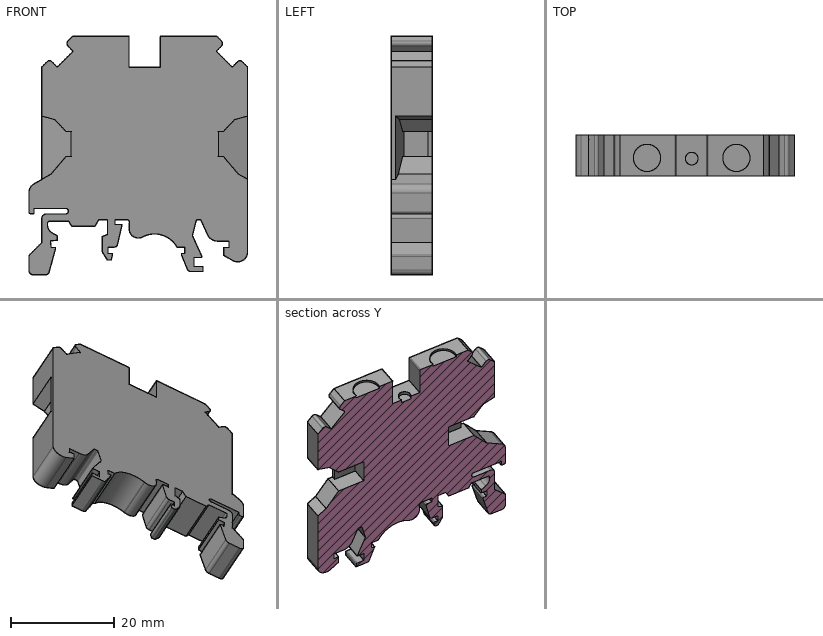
import cadquery as cq
import math

LENGTH = 42.5
THICKNESS = 8.0
HEIGHT = 46.4

BODY_LEFT = 2.5
BODY_CENTRE = (BODY_LEFT + LENGTH) / 2
BODY_HALF = LENGTH - BODY_CENTRE
SHOULDER_Z = 18.55
SHOULDER_SLOPE = math.tan(math.radians(30))

SLOT_HALF = 3.0
SLOT_FLOOR_Z = 40.35
SLOT_EDGE_RADIUS = 0.2
TOP_HALF = 13.95
HOOK_HALF = 15.4
HOOK_RADIUS = 0.75
NOTCH_INNER = 13.9
NOTCH_OUTER = 17.0
BUMP_RADIUS = 0.6

RELEASE_TOP_Z = 12.9
RELEASE_BOTTOM_Z = 11.9
RELEASE_END_X = 7.65
RELEASE_LIP = 1.0
FOOT_FLARE_Z = 3.75

CEILING_Z = 10.7
RAIL_TOP_Z = 5.4
RAIL_BOTTOM_Z = 4.18
TIP_RADIUS = 0.2

FUNNEL_DEPTH = 5.7
FUNNEL_LIP_DEPTH = 4.7
FUNNEL_TOP_Z = 30.85
FUNNEL_KNEE_DEPTH = 2.55
FUNNEL_KNEE_Z = 30.15
FUNNEL_BASE_DEPTH = 1.85
FUNNEL_WALL_OUTER_Y = THICKNESS - 0.9
FUNNEL_WALL_INNER_Y = THICKNESS - 2.5
WIRE_HOLE_TOP_Z = 27.9
WIRE_HOLE_BOTTOM_Z = 22.95
WIRE_HOLE_FRONT_Y = 0.85
WIRE_HOLE_LENGTH = 4.65

SCREW_DIAMETER = 5.3
SCREW_OFFSET = 8.7
SCREW_Y = 3.53
SCREW_DEPTH = 0.45
CENTRE_DIAMETER = 2.45
CENTRE_Y = 3.4
CENTRE_DEPTH = 0.7


def rounded_wire(corners):
    """Closed XZ outline from (x, z, radius) corners; each non-zero radius becomes a tangent arc."""
    stretches = []
    for i, (x, z, radius) in enumerate(corners):
        here = cq.Vector(x, z)
        if radius == 0:
            stretches.append((here,))
            continue
        before = cq.Vector(*corners[i - 1][:2]) - here
        after = cq.Vector(*corners[(i + 1) % len(corners)][:2]) - here
        half_angle = before.getAngle(after) / 2
        tangent = radius / math.tan(half_angle)
        corner_gap = radius / math.sin(half_angle) - radius
        bisector = (before.normalized() + after.normalized()).normalized()
        stretches.append((
            here + before.normalized() * tangent,
            here + bisector * corner_gap,
            here + after.normalized() * tangent,
        ))

    outline = cq.Workplane("XZ").moveTo(*stretches[0][-1].toTuple()[:2])
    for stretch in stretches[1:] + stretches[:1]:
        outline = outline.lineTo(*stretch[0].toTuple()[:2])
        if len(stretch) == 3:
            outline = outline.threePointArc(stretch[1].toTuple()[:2], stretch[2].toTuple()[:2])
    return outline.close()


def extrude_thickness(outline):
    """Extrude an XZ outline from Y = 0 to the back face."""
    return outline.extrude(-THICKNESS)


half_top = [
    (SLOT_HALF, SLOT_FLOOR_Z, 0),
    (SLOT_HALF, HEIGHT, SLOT_EDGE_RADIUS),
    (TOP_HALF, HEIGHT, 0),
    (HOOK_HALF, HEIGHT - (HOOK_HALF - TOP_HALF), HOOK_RADIUS),
    (NOTCH_INNER, SLOT_FLOOR_Z + NOTCH_OUTER - NOTCH_INNER, 0),
    (NOTCH_OUTER, SLOT_FLOOR_Z, 0),
    ((NOTCH_OUTER + BODY_HALF) / 2, SLOT_FLOOR_Z + (BODY_HALF - NOTCH_OUTER) / 2, BUMP_RADIUS),
    (BODY_HALF, SLOT_FLOOR_Z, 0),
]
left_top = [(BODY_CENTRE - offset, z, radius) for offset, z, radius in half_top]
right_top = [(BODY_CENTRE + offset, z, radius) for offset, z, radius in reversed(half_top)]

shoulder = [
    (BODY_LEFT, SHOULDER_Z, 0),
    (0, SHOULDER_Z - BODY_LEFT * SHOULDER_SLOPE, 2.0),
    (0, RELEASE_BOTTOM_Z, 0.35),
    (RELEASE_LIP, RELEASE_BOTTOM_Z, 0.15),
    (RELEASE_LIP, RELEASE_TOP_Z, 0),
    (RELEASE_END_X, RELEASE_TOP_Z, 0.45),
    (RELEASE_END_X, RELEASE_BOTTOM_Z, 0.45),
]

spring_foot = [
    (BODY_LEFT, RELEASE_BOTTOM_Z, 0.95),
    (BODY_LEFT, FOOT_FLARE_Z + BODY_LEFT, 0),
    (0, FOOT_FLARE_Z, 0.4),
    (0, 0, 0.95),
    (3.8, 0, 0.85),
    (5.3, RAIL_TOP_Z, TIP_RADIUS),
    (4.35, RAIL_TOP_Z, 0),
    (4.2, 6.6, 0),
    (5.55, 6.75, 0),
    (5.55, 7.6, 0),
    (3.65, 8.7, 1.75),
    (3.65, 10.4, 0.32),
    (7.75, 10.4, 0),
    (8.35, 9.4, 0),
    (12.85, 9.4, 0),
    (13.6, CEILING_Z, 0),
]

middle_claw = [
    (15.25, CEILING_Z, 0),
    (15.25, 7.9, 0),
    (14.25, 7.45, 0),
    (14.25, 4.45, 0.7),
    (15.25, 2.9, 0.3),
    (16.0, 2.9, 0.2),
    (16.35, RAIL_BOTTOM_Z, TIP_RADIUS),
    (15.4, RAIL_BOTTOM_Z, 0),
    (15.4, RAIL_TOP_Z, 0),
    (17.1, RAIL_TOP_Z, 0.7),
    (18.15, 9.85, TIP_RADIUS),
    (16.75, 9.85, 0),
    (16.75, CEILING_Z, 0),
]

saddle = [
    (19.55, CEILING_Z, 0.45),
    (19.3, 5.95, 1.8),
    (26.4, 9.55, 4.95),
    (28.75, RAIL_TOP_Z, 0),
]

right_claw = [
    (30.25, RAIL_TOP_Z, 0),
    (30.25, RAIL_BOTTOM_Z, 0),
    (29.5, RAIL_BOTTOM_Z, TIP_RADIUS),
    (30.95, 0.65, 0.7),
    (33.83, 0.65, 0),
    (33.83, 1.65, TIP_RADIUS),
    (32.1, 1.65, 0),
    (32.1, 3.4, 0),
    (33.75, 3.4, TIP_RADIUS),
    (31.8, 7.65, 0),
    (32.55, CEILING_Z, 0.2),
]

fixed_foot = [
    (33.35, CEILING_Z, 0.2),
    (35.25, 6.55, 2.25),
    (38.85, 6.55, 0),
    (38.85, RAIL_TOP_Z, 0),
    (37.8, RAIL_TOP_Z, 0),
    (37.8, 3.8, 0),
    (LENGTH, 1.1, 1.95),
]

underside = shoulder + spring_foot + middle_claw + saddle + right_claw + fixed_foot
body = extrude_thickness(rounded_wire(left_top + underside + right_top))


def left_funnel():
    """Funnel open to the left end and the front face, with the blind wire hole behind it."""
    profile = [
        (0, FUNNEL_TOP_Z),
        (FUNNEL_KNEE_DEPTH, FUNNEL_KNEE_Z),
        (FUNNEL_LIP_DEPTH, WIRE_HOLE_TOP_Z),
        (FUNNEL_DEPTH, WIRE_HOLE_TOP_Z),
        (FUNNEL_DEPTH, WIRE_HOLE_BOTTOM_Z),
        (FUNNEL_LIP_DEPTH, WIRE_HOLE_BOTTOM_Z),
        (FUNNEL_BASE_DEPTH, SHOULDER_Z + FUNNEL_BASE_DEPTH * SHOULDER_SLOPE),
        (0, SHOULDER_Z),
    ]
    side_shape = extrude_thickness(
        cq.Workplane("XZ").polyline([(BODY_LEFT + depth, z) for depth, z in profile]).close()
    )
    plan = [
        (BODY_LEFT, 0),
        (BODY_LEFT + FUNNEL_DEPTH, 0),
        (BODY_LEFT + FUNNEL_DEPTH, FUNNEL_WALL_INNER_Y),
        (BODY_LEFT, FUNNEL_WALL_OUTER_Y),
    ]
    plan_shape = cq.Workplane("XY").polyline(plan).close().extrude(HEIGHT)
    wire_hole = cq.Workplane("XY").box(
        WIRE_HOLE_LENGTH,
        FUNNEL_WALL_INNER_Y - WIRE_HOLE_FRONT_Y,
        WIRE_HOLE_TOP_Z - WIRE_HOLE_BOTTOM_Z,
        centered=False,
    ).translate((BODY_LEFT + FUNNEL_DEPTH, WIRE_HOLE_FRONT_Y, WIRE_HOLE_BOTTOM_Z))
    return side_shape.intersect(plan_shape).union(wire_hole)


def round_recess(x, y, top_z, diameter, depth):
    """Blind round recess going down from top_z."""
    return cq.Workplane("XY", origin=(x, y, top_z)).circle(diameter / 2).extrude(-depth)


funnel = left_funnel()
body = body.cut(funnel)
body = body.cut(funnel.mirror("YZ", (BODY_CENTRE, 0, 0)))

for side in (-1, 1):
    screw_x = BODY_CENTRE + side * SCREW_OFFSET
    body = body.cut(round_recess(screw_x, SCREW_Y, HEIGHT, SCREW_DIAMETER, SCREW_DEPTH))

result = body.cut(round_recess(BODY_CENTRE, CENTRE_Y, SLOT_FLOOR_Z, CENTRE_DIAMETER, CENTRE_DEPTH))